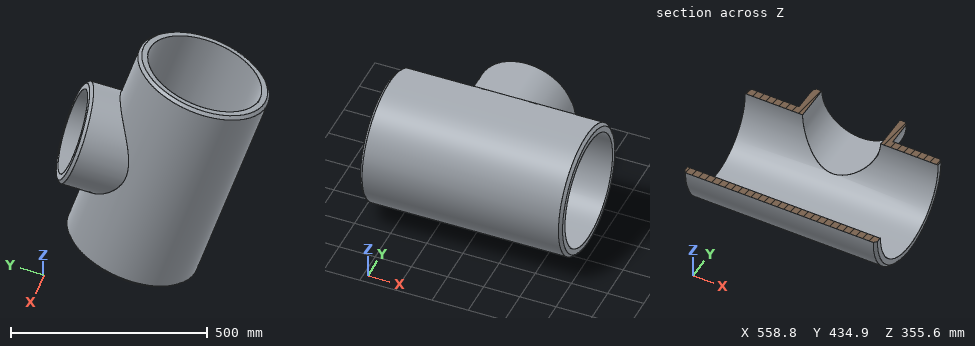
import cadquery as cq

run_length = 558.8
run_diameter = 355.6
branch_diameter = 273.05
branch_reach = 257.05
wall = 23.83
bevel = 8.0

run_radius = run_diameter / 2
branch_radius = branch_diameter / 2


def run_body():
    """Solid run cylinder centred on the origin, beveled at both ends."""
    body = cq.Workplane("YZ").circle(run_radius).extrude(run_length / 2, both=True)
    return body.faces("<X or >X").edges().chamfer(bevel)


def branch_body():
    """Solid branch cylinder from the run axis to its beveled +Y end."""
    body = cq.Workplane("XZ").circle(branch_radius).extrude(-branch_reach)
    return body.faces(">Y").edges().chamfer(bevel)


def run_bore():
    """Bore through the full length of the run."""
    return cq.Workplane("YZ").circle(run_radius - wall).extrude(run_length / 2, both=True)


def branch_bore():
    """Bore from the branch end face into the run bore."""
    return cq.Workplane("XZ").circle(branch_radius - wall).extrude(-branch_reach)


result = run_body().union(branch_body()).cut(run_bore()).cut(branch_bore())